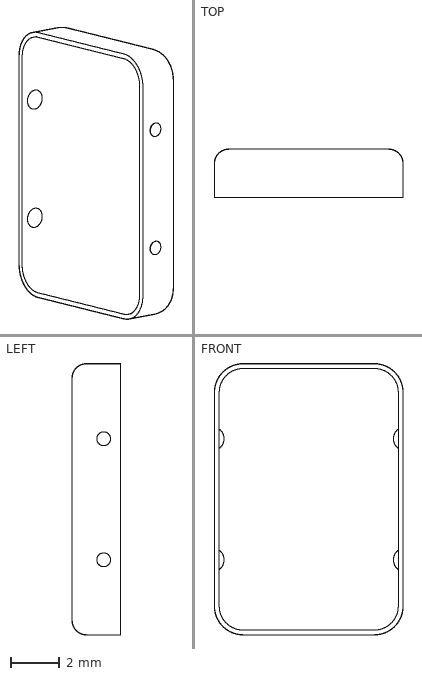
import cadquery as cq

height = 11.2
width = 7.8
depth = 2.0
wall = 0.2
corner_radius = 1.2
back_edge_radius = 0.6

dent_radius = 0.3
bump_radius = dent_radius + wall
dimple_center_offset = 0.1
dimple_from_rim = 0.7
dimple_spacing = 5.0

front_y = -depth / 2


def rounded_block(inset, length):
    """Block with rounded corners and back edge, reaching back from the open rim."""
    block = (
        cq.Workplane("XZ", origin=(0, front_y, 0))
        .rect(width - 2 * inset, height - 2 * inset)
        .extrude(-length)
    )
    block = block.edges("|Y").fillet(corner_radius - inset)
    return block.faces(">Y").edges().fillet(back_edge_radius - inset)


def dimple_sphere(radius, side, end):
    """Sphere whose centre lies just outside one of the long side walls."""
    center_x = side * (width / 2 + dimple_center_offset)
    center_y = front_y + dimple_from_rim
    center_z = end * dimple_spacing / 2
    sphere = cq.Workplane("XY").sphere(radius, direct=(1, 0, 0))
    return sphere.translate((center_x, center_y, center_z))


outer = rounded_block(0, depth)
cavity = rounded_block(wall, depth - wall)
tray = outer.cut(cavity)

for side in (-1, 1):
    for end in (-1, 1):
        bump = dimple_sphere(bump_radius, side, end).intersect(outer)
        dent = dimple_sphere(dent_radius, side, end)
        tray = tray.union(bump).cut(dent)

result = tray